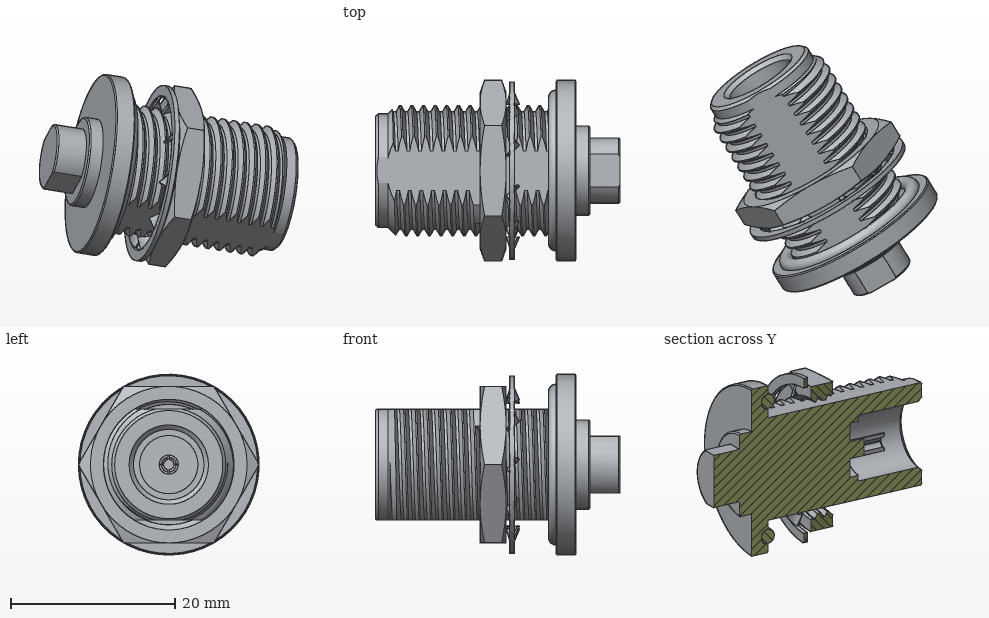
import cadquery as cq
import math


collar_radius = 6.95
collar_length = 1.55
collar_chamfer = 0.35
thread_minor_radius = 7.18
thread_major_radius = 7.95
thread_pitch = 1.415
thread_crest_width = 0.18
thread_flank_angle = 30.0
thread_crest_phase = 3.05
thread_overcut = 0.12
groove_first_turn = -2
groove_cut_count = 7
turns_per_cut = 2.1
barrel_across_flats = 13.52

flange_start = 21.99
flange_end = 24.43
flange_radius = 11.007
flange_chamfer = 0.15
hub_end = 26.13
hub_radius = 5.45
tail_end = 29.8
tail_radius = 4.0
tail_across_flats = 6.9
rear_chamfer = 0.18

socket_radius = 4.3
socket_mouth_radius = 4.83
socket_depth = 9.1
inner_bore_radius = 3.55
inner_bore_depth = 1.2
contact_radius = 1.15
contact_tip = 5.3
contact_hole_radius = 0.63
contact_hole_mouth_radius = 0.9
contact_hole_depth = 2.98
contact_slot_width = 0.15

seal_section_radius = 0.92
seal_ring_radius = thread_major_radius + seal_section_radius

nut_start = 12.75
nut_end = 15.9
nut_across_flats = 19.07
nut_chamfer = 0.55
nut_bore_radius = 7.33
nut_thread_overcut = 0.15
nut_first_turn = 6.4
nut_turns = 3.2

washer_start = 16.35
washer_thickness = 0.57
washer_outer_radius = 10.8
washer_inner_radius = 9.53
tooth_count = 10
tooth_tip_radius = 8.07
tooth_root_radius = 9.83
tooth_thickness = 0.3
tooth_width = 2.03
tooth_twist = 45.0
tooth_tip_shift = 0.1


def revolve_about_x(points):
    """Turn a closed (x, radius) outline about the X axis."""
    return cq.Workplane("XY").polyline(points).close().revolve(360, (0, 0, 0), (1, 0, 0))


def cylinder_x(x_start, x_end, radius):
    return cq.Workplane("YZ", origin=(x_start, 0, 0)).circle(radius).extrude(x_end - x_start)


def slab(x_start, x_end, width_y, height_z):
    """Block centred on the X axis."""
    return cq.Workplane("YZ", origin=(x_start, 0, 0)).rect(width_y, height_z).extrude(x_end - x_start)


def helical_solid(section, zero_x, first_turn, turns):
    """Right-handed helix about X with the given (x offset, radius) section.

    It passes the +Y side at zero_x; first_turn counts turns from there.
    """
    length = turns * thread_pitch
    edges = [
        cq.Wire.makeHelix(thread_pitch, length, radius).translate(cq.Vector(0, 0, offset))
        for offset, radius in section
    ]
    faces = []
    for index, edge in enumerate(edges):
        faces.append(cq.Face.makeRuledSurface(edge, edges[(index + 1) % len(edges)]))
    for height in (0, length):
        angle = 2 * math.pi * turns * height / length
        corners = [
            cq.Vector(radius * math.cos(angle), radius * math.sin(angle), height + offset)
            for offset, radius in section
        ]
        faces.append(cq.Face.makeFromWires(cq.Wire.makePolygon(corners, close=True)))
    solid = cq.Solid.makeSolid(cq.Shell.makeShell(faces))
    coil = cq.Workplane(obj=solid).rotate((0, 0, 0), (1, 1, 1), 120)
    coil = coil.rotate((0, 0, 0), (1, 0, 0), 360 * first_turn)
    return coil.translate((zero_x + first_turn * thread_pitch, 0, 0))


def half_ridge_width(radius):
    flank_run = (thread_major_radius - radius) * math.tan(math.radians(thread_flank_angle))
    return thread_crest_width / 2 + flank_run


def thread_groove(first_turn, turns):
    """Space between the thread ridges, opened a little past the crests."""
    outer_radius = thread_major_radius + thread_overcut
    root_half = thread_pitch / 2 - half_ridge_width(thread_minor_radius)
    outer_half = thread_pitch / 2 - half_ridge_width(outer_radius)
    section = [
        (-root_half, thread_minor_radius),
        (-outer_half, outer_radius),
        (outer_half, outer_radius),
        (root_half, thread_minor_radius),
    ]
    return helical_solid(section, thread_crest_phase + thread_pitch / 2, first_turn, turns)


def thread_ridge(first_turn, turns):
    """Ridge of the thread, reaching a little inside the bore of the nut."""
    inner_radius = nut_bore_radius - nut_thread_overcut
    inner_half = half_ridge_width(inner_radius)
    crest_half = half_ridge_width(thread_major_radius)
    section = [
        (-inner_half, inner_radius),
        (-crest_half, thread_major_radius),
        (crest_half, thread_major_radius),
        (inner_half, inner_radius),
    ]
    return helical_solid(section, thread_crest_phase, first_turn, turns)


def trim_flats(body, x_start, x_end, across_flats):
    """Cut a stretch of a round body to two flats facing +Z and -Z."""
    stretch_width = 2 * flange_radius + 0.6
    outer = slab(x_start, x_end, stretch_width, stretch_width)
    return body.cut(outer.cut(slab(x_start, x_end, stretch_width, across_flats)))


def threaded_barrel():
    lead_in = thread_major_radius - collar_radius
    blank = revolve_about_x([
        (0, 0),
        (0, collar_radius - collar_chamfer),
        (collar_chamfer, collar_radius),
        (collar_length, collar_radius),
        (collar_length + lead_in, thread_major_radius),
        (flange_start, thread_major_radius),
        (flange_start, 0),
    ])
    barrel = trim_flats(blank, 0, flange_start, barrel_across_flats)
    for index in range(groove_cut_count):
        barrel = barrel.cut(thread_groove(groove_first_turn + index * turns_per_cut, turns_per_cut))
    return barrel


def flange_and_tail():
    flange = cylinder_x(flange_start, flange_end, flange_radius).faces("<X or >X").chamfer(flange_chamfer)
    hub = cylinder_x(flange_end, hub_end, hub_radius).faces(">X").chamfer(rear_chamfer)
    tail = cylinder_x(hub_end, tail_end, tail_radius).faces(">X").chamfer(rear_chamfer)
    tail = trim_flats(tail, hub_end, tail_end, tail_across_flats)
    return flange.union(hub).union(tail)


def socket():
    """Open bore with a chamfered mouth and a narrower bore at its bottom."""
    mouth_chamfer = socket_mouth_radius - socket_radius
    bottom = socket_depth + inner_bore_depth
    return revolve_about_x([
        (0, 0),
        (0, socket_mouth_radius),
        (mouth_chamfer, socket_radius),
        (socket_depth, socket_radius),
        (socket_depth, inner_bore_radius),
        (bottom, inner_bore_radius),
        (bottom, 0),
    ])


def contact():
    """Slotted centre contact standing on the bottom of the socket."""
    hole_end = contact_tip + contact_hole_depth
    mouth_depth = contact_hole_mouth_radius - contact_hole_radius
    root = socket_depth + inner_bore_depth
    sleeve = revolve_about_x([
        (contact_tip, contact_hole_mouth_radius),
        (contact_tip, contact_radius),
        (root, contact_radius),
        (root, 0),
        (hole_end, 0),
        (hole_end, contact_hole_radius),
        (contact_tip + mouth_depth, contact_hole_radius),
    ])
    slot_length = 2 * contact_radius + 0.3
    sleeve = sleeve.cut(slab(contact_tip, hole_end, slot_length, contact_slot_width))
    return sleeve.cut(slab(contact_tip, hole_end, contact_slot_width, slot_length))


def make_seal():
    return cq.Workplane("XY").center(flange_start, seal_ring_radius).circle(seal_section_radius).revolve(
        360, (0, -seal_ring_radius, 0), (1, -seal_ring_radius, 0)
    )


def make_housing(seal):
    housing = threaded_barrel().union(flange_and_tail())
    return housing.cut(socket()).union(contact()).cut(seal)


def make_nut():
    """Hexagon nut with chamfered corners and a thread that fits the barrel."""
    corner_radius = nut_across_flats / math.sqrt(3)
    thickness = nut_end - nut_start
    hexagon = cq.Workplane("YZ", origin=(nut_start, 0, 0)).polygon(6, 2 * corner_radius).extrude(thickness)
    corner_limit = revolve_about_x([
        (nut_start, 0),
        (nut_start, nut_across_flats / 2),
        (nut_start + nut_chamfer, corner_radius),
        (nut_end - nut_chamfer, corner_radius),
        (nut_end, nut_across_flats / 2),
        (nut_end, 0),
    ])
    countersink = thread_major_radius - nut_bore_radius
    countersunk_bore = revolve_about_x([
        (nut_start, 0),
        (nut_start, thread_major_radius),
        (nut_start + countersink, nut_bore_radius),
        (nut_end - countersink, nut_bore_radius),
        (nut_end, thread_major_radius),
        (nut_end, 0),
    ])
    nut = hexagon.intersect(corner_limit).cut(cylinder_x(nut_start, nut_end, nut_bore_radius))
    nut = nut.cut(thread_ridge(nut_first_turn, nut_turns))
    return nut.cut(countersunk_bore)


def washer_tooth(angle):
    """Tooth running inward from the disc and twisting about its own length."""
    disc_centre = washer_start + washer_thickness / 2
    root_plane = cq.Plane((disc_centre, tooth_root_radius, 0), xDir=(1, 0, 0), normal=(0, -1, 0))
    tooth = (
        cq.Workplane(root_plane)
        .rect(tooth_thickness, tooth_width)
        .workplane(offset=tooth_root_radius - tooth_tip_radius)
        .center(tooth_tip_shift, 0)
        .transformed(rotate=(0, 0, tooth_twist))
        .rect(tooth_thickness, tooth_width)
        .loft(ruled=True)
    )
    return tooth.rotate((0, 0, 0), (1, 0, 0), angle)


def make_washer():
    disc = cylinder_x(washer_start, washer_start + washer_thickness, washer_outer_radius)
    washer = disc.cut(cylinder_x(washer_start, washer_start + washer_thickness, washer_inner_radius))
    for index in range(tooth_count):
        washer = washer.union(washer_tooth(index * 360 / tooth_count))
    return washer


seal = make_seal()
housing = make_housing(seal)
nut = make_nut()
washer = make_washer()
result = cq.Compound.makeCompound([housing.val(), nut.val(), washer.val(), seal.val()])